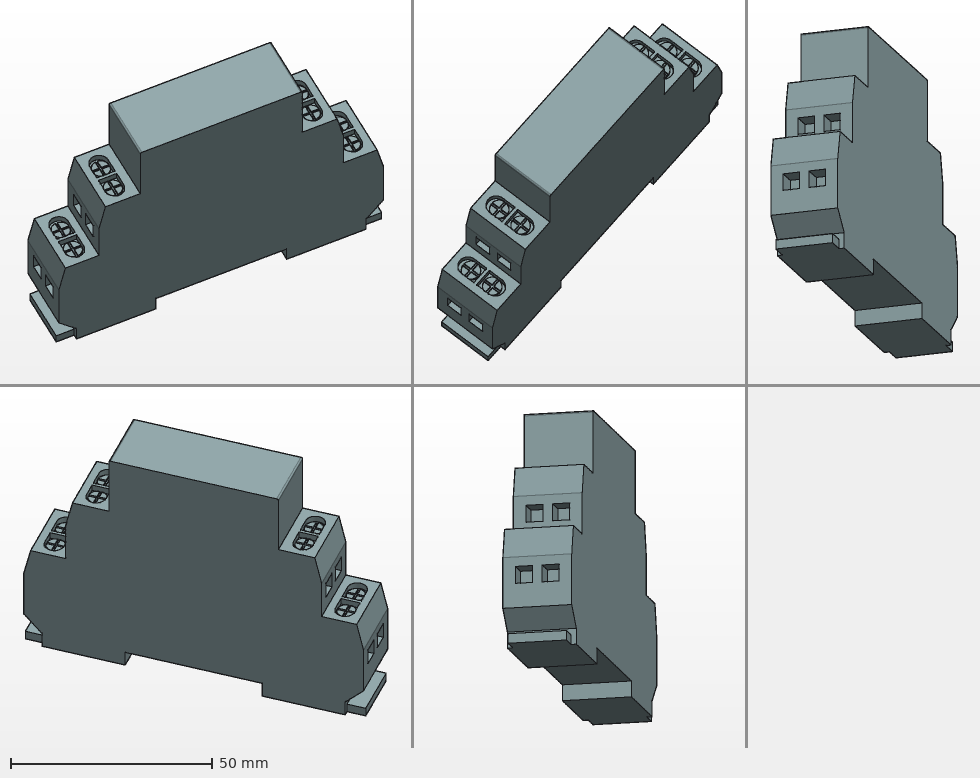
import cadquery as cq

width = 17.6
length = 90.0
height = 63.8

tower_half = 22.4
tower_edge_radius = 0.45
upper_half = 33.8
upper_top = 47.8
lower_half = 44.9
lower_top = 29.6
slope_run = 1.8
slope_drop = 7.65
lower_wall_base = 9.0
foot_height = 4.05
foot_outer_half = 40.05
rail_slot_half = 18.1

clip_width = 14.9
clip_height = 2.4

terminal_offset = 3.4
entry_size = 4.3
entry_depth = 5.4
entry_below_top = 12.2

screw_inset = 6.5
well_inner_x = 0.45
well_radius = 2.5
well_outer_x = 6.9
well_depth = 1.7
screw_radius = 2.4
screw_height = 0.7
cross_width = 0.5
cross_depth = 0.45


def make_housing():
    """Stepped body with the rail slot underneath."""
    rear_side = [
        (rail_slot_half, foot_height),
        (rail_slot_half, 0),
        (foot_outer_half, 0),
        (foot_outer_half, foot_height),
        (lower_half, lower_wall_base),
        (lower_half, lower_top - slope_drop),
        (lower_half - slope_run, lower_top),
        (upper_half, lower_top),
        (upper_half, upper_top - slope_drop),
        (upper_half - slope_run, upper_top),
        (tower_half, upper_top),
        (tower_half, height),
    ]
    front_side = [(-y, z) for y, z in reversed(rear_side)]
    profile = cq.Workplane("YZ").polyline(rear_side + front_side).close()
    body = profile.extrude(width / 2, both=True)
    return body.edges("|X").edges(">Z").fillet(tower_edge_radius)


def make_clip(side):
    """Flat tab from the foot out to the end of the part."""
    reach = length / 2 - foot_outer_half
    middle = side * (foot_outer_half + reach / 2)
    clip = cq.Workplane("XY").box(clip_width, reach, clip_height, centered=(True, True, False))
    return clip.translate((0, middle, 0))


def make_entry(x, side, outer_half, step_top):
    """Square wire entry cut into the end wall of a step."""
    middle = side * (outer_half - entry_depth / 2)
    entry = cq.Workplane("XY").box(entry_size, entry_depth, entry_size)
    return entry.translate((x, middle, step_top - entry_below_top))


def make_well(hand, y, step_top):
    """Screw well, flat on the inner side and round on the outer side."""
    arc_x = well_outer_x - well_radius
    return (
        cq.Workplane("XY", origin=(0, y, step_top - well_depth))
        .moveTo(hand * well_inner_x, -well_radius)
        .lineTo(hand * arc_x, -well_radius)
        .threePointArc((hand * well_outer_x, 0), (hand * arc_x, well_radius))
        .lineTo(hand * well_inner_x, well_radius)
        .close()
        .extrude(well_depth)
    )


def make_screw(x, y, well_floor):
    """Round screw head with a cross slot."""
    cross_floor = screw_height - cross_depth
    bar = (2 * screw_radius, cross_width, cross_depth)
    slot = cq.Workplane("XY").box(*bar, centered=(True, True, False)).translate((0, 0, cross_floor))
    head = cq.Workplane("XY").circle(screw_radius).extrude(screw_height)
    head = head.cut(slot).cut(slot.rotate((0, 0, 0), (0, 0, 1), 90))
    return head.translate((x, y, well_floor))


result = make_housing()

steps = [(lower_half, lower_top), (upper_half, upper_top)]

for side in (-1, 1):
    result = result.union(make_clip(side))
    for outer_half, step_top in steps:
        screw_y = side * (outer_half - screw_inset)
        for hand in (-1, 1):
            x = hand * terminal_offset
            result = result.cut(make_entry(x, side, outer_half, step_top))
            result = result.cut(make_well(hand, screw_y, step_top))
            result = result.union(make_screw(x, screw_y, step_top - well_depth))